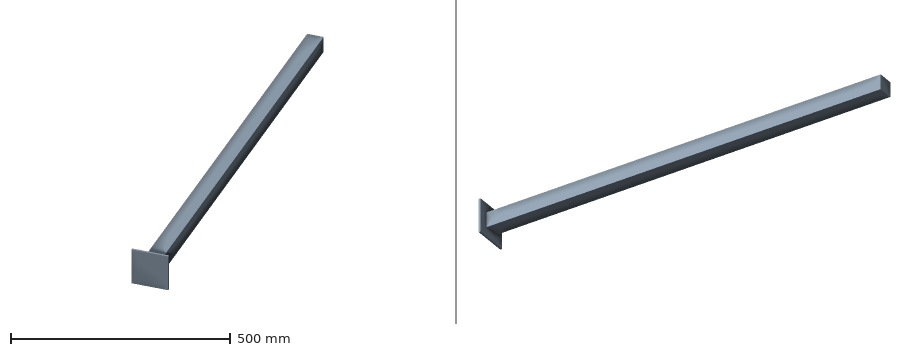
import cadquery as cq

total_length = 1080.0
plate_side = 90.0
plate_thickness = 5.0
post_side = 40.0

plate = cq.Workplane("XY").box(
    plate_side, plate_thickness, plate_side, centered=(True, False, True)
)

post = cq.Workplane("XY").box(
    post_side, total_length, post_side, centered=(True, False, True)
)

result = plate.union(post)